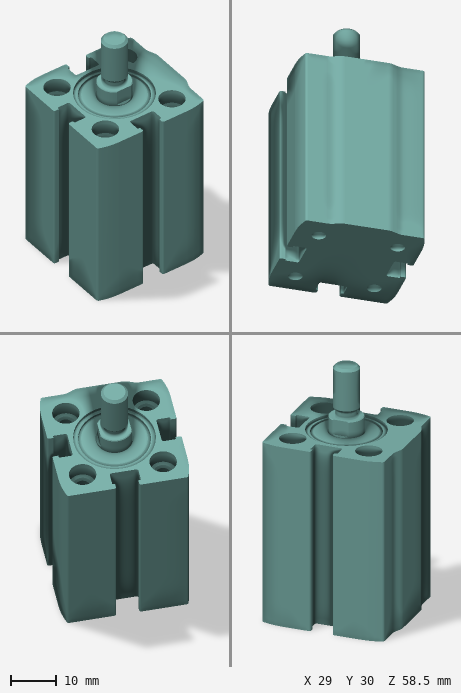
import cadquery as cq
import math

total_height = 58.5
housing_height = 43.0
half_width = 14.5
back_extent = 15.5

flat_side_half = 9.3
side_arc_radius = 14.6
corner_radius = 0.6
ridge_half_top = 5.55
ridge_half_base = 8.0
ridge_radius = 2.9

slot_mouth = 5.2
slot_chamber = 6.45
slot_floor = 10.0
slot_lip = 1.35
slot_floor_radius = 0.45
slot_lip_radius = 0.25
slot_mouth_radius = 0.4

hole_pitch = 18.1
hole_diameter = 3.2
hole_mouth_diameter = 4.15
counterbore_diameter = 6.0
counterbore_depth = 3.5

recess_diameter = 18.2
recess_depth = 0.75
crest_diameter = 16.6
crest_depth = 0.3
groove_diameter = 16.0
groove_lip_depth = 0.4
groove_depth = 0.95
rim_diameter = 14.7
rim_depth = 0.4
cap_diameter = 14.15
cap_depth = 0.35

rod_diameter = 8.0
rod_insertion = 5.85
rod_edge_chamfer = 0.2
socket_edge_chamfer = 0.2
flats_width = 7.0
flats_runout_angle = 30.0
thread_diameter = 6.0
thread_length = 12.0
tip_chamfer = 0.6
undercut_diameter = 4.7
undercut_height = 2.1
undercut_radius = 0.4

side_arc_rise = half_width - flat_side_half
side_arc_inset = side_arc_radius - math.sqrt(side_arc_radius**2 - side_arc_rise**2)
corner_half_width = half_width - side_arc_inset

rod_bottom = housing_height - rod_insertion
cap_face = housing_height - cap_depth
shoulder = total_height - thread_length

axis_start = (0, 0, 0)
axis_end = (0, 1, 0)

edge_pick_reach = 0.03


def housing_blank():
    blank = (
        cq.Workplane("XY")
        .moveTo(half_width, -flat_side_half)
        .lineTo(half_width, flat_side_half)
        .radiusArc((corner_half_width, half_width), -side_arc_radius)
        .lineTo(ridge_half_base, half_width)
        .lineTo(ridge_half_top, back_extent)
        .lineTo(-ridge_half_top, back_extent)
        .lineTo(-ridge_half_base, half_width)
        .lineTo(-corner_half_width, half_width)
        .radiusArc((-half_width, flat_side_half), -side_arc_radius)
        .lineTo(-half_width, -flat_side_half)
        .radiusArc((-corner_half_width, -half_width), -side_arc_radius)
        .lineTo(corner_half_width, -half_width)
        .radiusArc((half_width, -flat_side_half), -side_arc_radius)
        .close()
        .extrude(housing_height)
    )
    corners = [(sx * corner_half_width, sy * half_width) for sx in (-1, 1) for sy in (-1, 1)]
    ridge_edges = [
        (side * x, y)
        for side in (-1, 1)
        for x, y in ((ridge_half_base, half_width), (ridge_half_top, back_extent))
    ]
    blank = round_upright_edges(blank, corners, corner_radius)
    return round_upright_edges(blank, ridge_edges, ridge_radius)


def round_upright_edges(body, places, radius):
    """Fillet the edges parallel to Z that stand at the given (x, y) places."""
    edges = cq.Workplane("XY")
    for x, y in places:
        box = cq.selectors.BoxSelector(
            (x - edge_pick_reach, y - edge_pick_reach, 0),
            (x + edge_pick_reach, y + edge_pick_reach, housing_height),
        )
        edges = edges.add(body.edges("|Z").edges(box))
    return body.newObject([body.val().fillet(radius, edges.vals())])


def slot_cutter(angle):
    """T-slot open towards +X, turned about the Z axis by the angle."""
    chamber_depth = half_width - slot_lip - slot_floor
    chamber = (
        cq.Workplane("XY")
        .box(chamber_depth, slot_chamber, housing_height, centered=(False, True, False))
        .edges("|Z and <X").fillet(slot_floor_radius)
        .edges("|Z and >X").fillet(slot_lip_radius)
    )
    mouth = cq.Workplane("XY").box(
        half_width - slot_floor, slot_mouth, housing_height, centered=(False, True, False)
    )
    cutter = chamber.union(mouth).translate((slot_floor, 0, 0))
    return cutter.rotate((0, 0, 0), (0, 0, 1), angle)


def cut_slots(housing):
    for angle in (0, 180, 270):
        housing = housing.cut(slot_cutter(angle))
    half_mouth = slot_mouth / 2
    mouth_edges = [(sx * half_width, sy * half_mouth) for sx in (-1, 1) for sy in (-1, 1)]
    mouth_edges += [(sx * half_mouth, -half_width) for sx in (-1, 1)]
    return round_upright_edges(housing, mouth_edges, slot_mouth_radius)


def cut_mounting_holes(housing):
    """Counterbored through holes with a countersunk step below each counterbore."""
    counterbore_floor = housing_height - counterbore_depth
    countersink_end = counterbore_floor - (hole_mouth_diameter - hole_diameter) / 2
    profile = (
        cq.Workplane("XZ")
        .lineTo(hole_diameter / 2, 0)
        .lineTo(hole_diameter / 2, countersink_end)
        .lineTo(hole_mouth_diameter / 2, counterbore_floor)
        .lineTo(counterbore_diameter / 2, counterbore_floor)
        .lineTo(counterbore_diameter / 2, housing_height)
        .lineTo(0, housing_height)
        .close()
    )
    hole = profile.revolve(360, axis_start, axis_end)
    half_pitch = hole_pitch / 2
    for x in (-half_pitch, half_pitch):
        for y in (-half_pitch, half_pitch):
            housing = housing.cut(hole.translate((x, y, 0)))
    return housing


def top_rings():
    """Recess around the rod: an outer conical ring, a small groove and a flat cap."""
    return (
        cq.Workplane("XZ")
        .moveTo(0, housing_height)
        .lineTo(recess_diameter / 2, housing_height)
        .lineTo(recess_diameter / 2, housing_height - recess_depth)
        .lineTo(crest_diameter / 2, housing_height - crest_depth)
        .lineTo(groove_diameter / 2, housing_height - groove_lip_depth)
        .lineTo(groove_diameter / 2, housing_height - groove_depth)
        .lineTo(rim_diameter / 2, housing_height - rim_depth)
        .lineTo(cap_diameter / 2, cap_face)
        .lineTo(0, cap_face)
        .close()
        .revolve(360, axis_start, axis_end)
    )


def rod_socket():
    """Blind hole for the rod, chamfered at the cap face."""
    radius = rod_diameter / 2
    mouth_radius = radius + socket_edge_chamfer
    return (
        cq.Workplane("XZ")
        .moveTo(0, rod_bottom)
        .lineTo(radius, rod_bottom)
        .lineTo(radius, cap_face - socket_edge_chamfer)
        .lineTo(mouth_radius, cap_face)
        .lineTo(0, cap_face)
        .close()
        .revolve(360, axis_start, axis_end)
    )


def make_housing():
    housing = cut_slots(housing_blank())
    housing = cut_mounting_holes(housing)
    housing = housing.cut(top_rings())
    return housing.cut(rod_socket())


def cut_flats(rod):
    """Two wrench flats facing -X and +X, each ending below in a sloping ledge at the cap face."""
    radius = rod_diameter / 2
    half_flats = flats_width / 2
    ledge_rise = (radius - half_flats) * math.tan(math.radians(flats_runout_angle))
    cutter = (
        cq.Workplane("XZ")
        .moveTo(radius, cap_face)
        .lineTo(radius, shoulder)
        .lineTo(half_flats, shoulder)
        .lineTo(half_flats, cap_face + ledge_rise)
        .close()
        .extrude(radius, both=True)
    )
    return rod.cut(cutter).cut(cutter.mirror("YZ"))


def make_rod():
    rod_radius = rod_diameter / 2
    thread_radius = thread_diameter / 2
    neck_radius = undercut_diameter / 2
    thread_start = shoulder + undercut_height
    neck_top = thread_start - (thread_radius - neck_radius)
    rod = (
        cq.Workplane("XZ")
        .moveTo(0, rod_bottom)
        .lineTo(rod_radius, rod_bottom)
        .lineTo(rod_radius, shoulder - rod_edge_chamfer)
        .lineTo(rod_radius - rod_edge_chamfer, shoulder)
        .lineTo(neck_radius, shoulder)
        .lineTo(neck_radius, neck_top)
        .lineTo(thread_radius, thread_start)
        .lineTo(thread_radius, total_height - tip_chamfer)
        .lineTo(thread_radius - tip_chamfer, total_height)
        .lineTo(0, total_height)
        .close()
        .revolve(360, axis_start, axis_end)
    )
    neck_ends = rod.edges(cq.selectors.RadiusNthSelector(0))
    rod = neck_ends.fillet(undercut_radius)
    return cut_flats(rod)


housing = make_housing()
rod = make_rod()

result = cq.Compound.makeCompound([housing.val(), rod.val()])